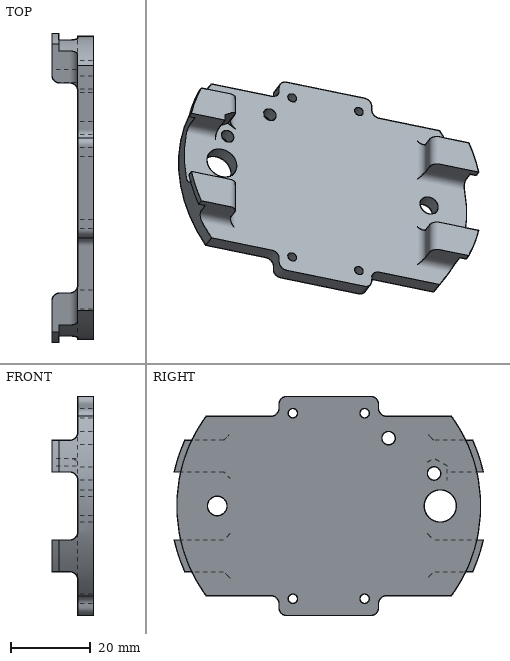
import cadquery as cq
import math

MARGIN = 1.0

PLATE_THICKNESS = 4.0
PLATE_RADIUS = 38.1
BODY_HALF_HEIGHT = 22.5
TAB_HALF_WIDTH = 12.5
TAB_HALF_HEIGHT = 27.5
TAB_CORNER_RADIUS = 2.0

CLIP_HEIGHT = 6.5
CLIP_WIDTH = 8.0
CLIP_CENTER_Z = 12.5
CLIP_BACK_Y = 26.3
CLIP_ROUND = 2.0
COVE_RADIUS = 2.0
LIP_THICKNESS = 1.8
OVERALL_LENGTH = 77.53
LIP_TIP_Y = OVERALL_LENGTH / 2
LIP_TIP_Z = CLIP_CENTER_Z - CLIP_WIDTH / 2
LIP_RADIUS = math.hypot(LIP_TIP_Y, LIP_TIP_Z)
BEYOND_RIM_Y = LIP_RADIUS + MARGIN

TAB_HOLE_DIAMETER = 2.3
TAB_HOLE_Y = 9.0
TAB_HOLE_Z = 23.25
SCREW_HOLE_DIAMETER = 3.3
SCREW_HOLE = (15.0, 17.0)
NUT_HOLE = (26.4, 8.15)
END_HOLE_Y = 27.95
LARGE_END_HOLE_DIAMETER = 8.0
SMALL_END_HOLE_DIAMETER = 4.85

NUT_ACROSS_CORNERS = 7.6


def disc(radius, x_start, thickness):
    return cq.Workplane("YZ", origin=(x_start, 0, 0)).circle(radius).extrude(thickness)


def make_plate():
    body = (
        cq.Workplane("YZ")
        .rect(2 * PLATE_RADIUS, 2 * BODY_HALF_HEIGHT)
        .extrude(PLATE_THICKNESS)
        .intersect(disc(PLATE_RADIUS, 0, PLATE_THICKNESS))
    )
    tabs = (
        cq.Workplane("YZ")
        .rect(2 * TAB_HALF_WIDTH, 2 * TAB_HALF_HEIGHT)
        .extrude(PLATE_THICKNESS)
        .edges("|X")
        .fillet(TAB_CORNER_RADIUS)
    )
    plate = body.union(tabs)
    inner_corners = cq.selectors.BoxSelector(
        (-MARGIN, -TAB_HALF_WIDTH - MARGIN, -BODY_HALF_HEIGHT - MARGIN),
        (PLATE_THICKNESS + MARGIN, TAB_HALF_WIDTH + MARGIN, BODY_HALF_HEIGHT + MARGIN),
    )
    return plate.edges("|X").edges(inner_corners).fillet(TAB_CORNER_RADIUS)


def clip_side_profile():
    """Clip outline in XY: coved foot, straight back wall and rounded top edge."""
    return (
        cq.Workplane("XY")
        .moveTo(0, CLIP_BACK_Y - COVE_RADIUS)
        .radiusArc((-COVE_RADIUS, CLIP_BACK_Y), -COVE_RADIUS)
        .lineTo(-CLIP_HEIGHT + CLIP_ROUND, CLIP_BACK_Y)
        .radiusArc((-CLIP_HEIGHT, CLIP_BACK_Y + CLIP_ROUND), CLIP_ROUND)
        .lineTo(-CLIP_HEIGHT, BEYOND_RIM_Y)
        .lineTo(0, BEYOND_RIM_Y)
        .close()
        .extrude(TAB_HALF_HEIGHT)
    )


def clip_end_profile():
    """Clip outline in XZ: straight sides with a coved foot on both."""
    low = CLIP_CENTER_Z - CLIP_WIDTH / 2
    high = CLIP_CENTER_Z + CLIP_WIDTH / 2
    return (
        cq.Workplane("XZ")
        .moveTo(0, low - COVE_RADIUS)
        .radiusArc((-COVE_RADIUS, low), -COVE_RADIUS)
        .lineTo(-CLIP_HEIGHT, low)
        .lineTo(-CLIP_HEIGHT, high)
        .lineTo(-COVE_RADIUS, high)
        .radiusArc((0, high + COVE_RADIUS), -COVE_RADIUS)
        .close()
        .extrude(-BEYOND_RIM_Y)
    )


def make_clip():
    """Clip in the +Y +Z quarter; crossing the two outlines mitres the coves."""
    rim = disc(PLATE_RADIUS, -CLIP_HEIGHT, CLIP_HEIGHT)
    lip = disc(LIP_RADIUS, -CLIP_HEIGHT, LIP_THICKNESS)
    return clip_side_profile().intersect(clip_end_profile()).intersect(rim.union(lip))


def make_clips():
    clip = make_clip()
    end_pair = clip.union(clip.mirror("XY"))
    return end_pair.union(end_pair.mirror("XZ"))


def make_nut_clearance():
    """Hexagon with corners toward +Z and -Z, down to the inner face."""
    return (
        cq.Workplane("YZ", origin=(-CLIP_HEIGHT, 0, 0))
        .center(*NUT_HOLE)
        .transformed(rotate=(0, 0, 90))
        .polygon(6, NUT_ACROSS_CORNERS)
        .extrude(CLIP_HEIGHT)
    )


def drill(solid, diameter, points):
    holes = cq.Workplane("YZ").pushPoints(points).circle(diameter / 2).extrude(PLATE_THICKNESS)
    return solid.cut(holes)


tab_holes = [(y, z) for y in (-TAB_HOLE_Y, TAB_HOLE_Y) for z in (-TAB_HOLE_Z, TAB_HOLE_Z)]

result = make_plate().union(make_clips()).cut(make_nut_clearance())
result = drill(result, TAB_HOLE_DIAMETER, tab_holes)
result = drill(result, SCREW_HOLE_DIAMETER, [SCREW_HOLE, NUT_HOLE])
result = drill(result, LARGE_END_HOLE_DIAMETER, [(END_HOLE_Y, 0)])
result = drill(result, SMALL_END_HOLE_DIAMETER, [(-END_HOLE_Y, 0)])